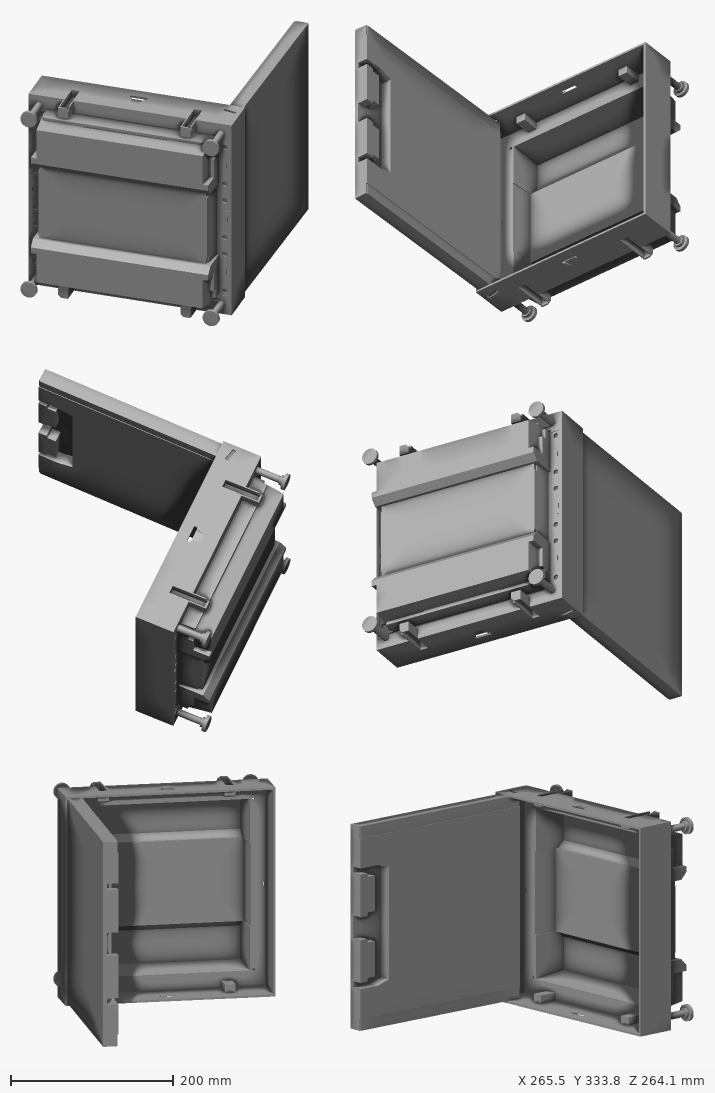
import cadquery as cq
import math


frame_size = 264.1
frame_depth = 51.0
frame_wall = 2.7
back_thickness = 5.0
frame_back = -frame_depth
floor_front = frame_back + back_thickness
half_frame = frame_size / 2
half_inside = half_frame - frame_wall
overall_depth_behind = 41.0
rear_limit = frame_back - overall_depth_behind

cover_wall = 2.5
opening_half = 115.3
plate_half_width = 108.5
plate_half_height = 112.6
plate_rise = 19.0
plate_corner = 2.0
groove_depth = 2.0

trough_top_front = 110.9
trough_top_rear = 105.9
trough_half_width_front = 111.3
trough_half_width_rear = 108.0
trough_bottom = 50.2
trough_chamfer = 8.4
cheek_half_width = 115.3
cheek_top = 105.0
cheek_step_z = 91.6
cheek_foot_z = 66.3
cheek_step_rise = 12.0
cheek_rise = 19.2
ledge_length = 109.0
ledge_width = 1.2
ledge_floor = 106.7

centre_rise = 28.5
centre_half_width_base = 112.8
centre_half_width_face = 109.5
centre_notch_width = 2.6
centre_notch_height = 8.0
centre_notch_depth = 5.0
corner_hole = 3.4
corner_hole_z = 107.6

strip_outer_x = 127.8
strip_half_height = 106.0
strip_depth = 0.8
strip_tab_width = 3.5
strip_tab_height = 23.3
strip_hole_diameter = 6.6
strip_hole_depth = 3.0
strip_hole_x = 122.5
strip_hole_heights = [25.6, 48.8, 100.0]
slit_width = 1.2
slit_height = 6.5
slit_x = 125.2
slit_z = 73.5
slit_depth = 2.0
sight_slot_x = 126.8

clip_x = 79.6
clip_width = 13.2
clip_height = 12.8
clip_rise = 23.3
clip_front = -22.0
clip_floor = 2.4
clip_end_wall = 2.3
clip_channel_width = 10.2
clip_chamfer = 4.0
clip_chamfer_length = 5.5

latch_width = 22.0
latch_height = 4.3
latch_front = -15.0
ramp_length = 12.0
ramp_wide = 17.0
ramp_narrow = 9.6
ramp_depth = 2.0
hinge_length = 17.0
hinge_width = 4.5
hinge_x = 118.0
hinge_y = -15.6
hinge_angle = -13.0

door_thickness = 19.2
door_height = 2 * half_inside
door_lean = 1.03
door_far_end = 241.75
door_outer_x = 133.46
door_root = -20.0
door_length = (door_far_end - door_root) / math.cos(math.radians(door_lean))
door_band = 15.0
door_band_step = 0.8
door_end_step = 1.8
pocket_depth = 14.4
pocket_length = 46.4
pocket_straight = 27.8
pocket_half_height = 76.5
pocket_half_height_inner = 71.0
grip_z = 41.5
grip_wide = 54.0
grip_narrow = 44.8
grip_step = 10.9
grip_length = 23.3
grip_corner = 1.2

screw_position = 118.4
stem_diameter = 8.8
collar_diameter = 13.0
head_diameter = 21.0
collar_thickness = 4.2
head_thickness = 4.4


def block(x_range, y_range, z_range):
    """Box between two limits on each axis."""
    sizes = [high - low for low, high in (x_range, y_range, z_range)]
    return cq.Workplane("XY").box(*sizes, centered=False).translate((x_range[0], y_range[0], z_range[0]))


def centred_block(half_width, y_range, half_height):
    return block((-half_width, half_width), y_range, (-half_height, half_height))


def side_profile(points, half_width):
    """Outline in (Y, Z), extruded evenly to both sides of X = 0."""
    return cq.Workplane("YZ").polyline(points).close().extrude(half_width, both=True)


def both_halves(upper):
    """The upper shape together with its mirror image below Z = 0."""
    return upper.union(upper.mirror("XY"))


def trough(inset):
    """Upper cover trough; a positive inset gives the hollow inside it."""
    rear = rear_limit + inset
    front = floor_front if inset else frame_back
    low = trough_bottom + inset
    points = [
        (front, trough_top_front - inset),
        (rear, trough_top_rear - inset),
        (rear, low + trough_chamfer),
        (rear + trough_chamfer, low),
        (front, low),
    ]
    wide = trough_half_width_front - inset
    narrow = trough_half_width_rear - inset
    plan = [(-wide, front), (wide, front), (narrow, rear), (-narrow, rear)]
    tapered = cq.Workplane("XY").polyline(plan).close().extrude(trough_top_front)
    return side_profile(points, wide).intersect(tapered)


def cheeks():
    """Stepped end walls that widen the upper trough on both sides."""
    points = [
        (frame_back, cheek_top),
        (frame_back - cheek_step_rise, cheek_top),
        (frame_back - cheek_step_rise, cheek_step_z),
        (frame_back - cheek_rise, cheek_step_z),
        (frame_back - cheek_rise, cheek_foot_z),
        (rear_limit, cheek_foot_z),
        (rear_limit, trough_bottom + trough_chamfer),
        (rear_limit + trough_chamfer, trough_bottom),
        (frame_back, trough_bottom),
    ]
    return side_profile(points, cheek_half_width)


def centre_panel(inset):
    """Middle panel with drafted ends; a positive inset gives the hollow inside it."""
    rear = frame_back - centre_rise + inset
    front = floor_front if inset else frame_back
    base = centre_half_width_base - inset
    face = centre_half_width_face - inset
    outline = [(-base, front), (base, front), (face, rear), (-face, rear)]
    return cq.Workplane("XY").polyline(outline).close().extrude(trough_bottom + inset, both=True)


def centre_notches():
    """Small cut-outs at the four rear corners of the middle panel."""
    rear = frame_back - centre_rise
    inner_x = centre_half_width_face - centre_notch_width / 2
    upper = block(
        (inner_x, centre_half_width_base),
        (rear, rear + centre_notch_depth),
        (trough_bottom - centre_notch_height, trough_bottom),
    )
    right = both_halves(upper)
    return right.union(right.mirror("YZ"))


def cover_solid():
    plate = centred_block(plate_half_width, (frame_back - plate_rise, frame_back), plate_half_height)
    plate = plate.faces("<Y").edges("|Z").chamfer(plate_corner)
    middle = centre_panel(0).cut(centre_notches())
    plate = plate.cut(centred_block(cheek_half_width, (rear_limit, frame_back), trough_bottom))
    ledge = block(
        (-ledge_length / 2, ledge_length / 2),
        (frame_back - plate_rise - ledge_width, frame_back - plate_rise),
        (ledge_floor, trough_top_front),
    )
    troughs = trough(0).union(cheeks()).cut(ledge)
    return plate.union(both_halves(troughs)).union(middle)


def cover_hollow():
    return both_halves(trough(cover_wall)).union(centre_panel(cover_wall))


def clip_bodies():
    """Snap clip blocks, each with one chamfered edge at its tip."""
    clips = []
    for side in (-1, 1):
        clip = block(
            (side * clip_x - clip_width / 2, side * clip_x + clip_width / 2),
            (frame_back - clip_rise, clip_front),
            (half_frame - clip_height, half_frame),
        )
        clip = clip.cut(clip_channel(side))
        corner = cq.Workplane("XZ").polyline([
            (side * clip_x + clip_width / 2, half_frame),
            (side * clip_x + clip_width / 2 - clip_chamfer, half_frame),
            (side * clip_x + clip_width / 2, half_frame - clip_chamfer),
        ]).close().extrude(clip_chamfer_length)
        corner = corner.translate((0, frame_back - clip_rise + clip_chamfer_length, 0))
        clips.append(clip.cut(corner))
    upper = clips[0].union(clips[1])
    return upper.union(upper.rotate((0, 0, 0), (0, 1, 0), 180))


def clip_channel(side):
    """Open channel running along the outer face of one upper clip."""
    return block(
        (side * clip_x - clip_channel_width / 2, side * clip_x + clip_channel_width / 2),
        (frame_back - clip_rise + clip_end_wall, clip_front - clip_end_wall),
        (half_frame - clip_height + clip_floor, half_frame),
    )


def strip_recess():
    """Sunken strip, blind holes, slits and sight slot on the +X side of the back."""
    recess_y = (frame_back, frame_back + strip_depth)
    recess = block((cheek_half_width, strip_outer_x), recess_y, (-strip_half_height, strip_half_height))
    tab = block(
        (strip_outer_x - strip_tab_width, strip_outer_x), recess_y,
        (-strip_tab_height / 2, strip_tab_height / 2),
    )
    cutter = recess.cut(tab)
    hole_points = [(strip_hole_x, sign * z) for z in strip_hole_heights for sign in (-1, 1)]
    holes = cq.Workplane("XZ", origin=(0, frame_back, 0)).pushPoints(hole_points)
    cutter = cutter.union(holes.circle(strip_hole_diameter / 2).extrude(-strip_depth - strip_hole_depth))
    slit_points = [(slit_x, slit_z), (slit_x, -slit_z)]
    slits = cq.Workplane("XZ", origin=(0, frame_back, 0)).pushPoints(slit_points)
    cutter = cutter.union(slits.rect(slit_width, slit_height).extrude(-strip_depth - slit_depth))
    sight_slot = cq.Workplane("XZ", origin=(sight_slot_x, frame_back, 0)).rect(slit_width, slit_height)
    return cutter.union(sight_slot.extrude(-back_thickness))


def corner_holes():
    """Square through-holes beside the four corners of the cover plate."""
    points = [
        (x_sign * (opening_half - corner_hole / 2), z_sign * corner_hole_z)
        for x_sign in (-1, 1) for z_sign in (-1, 1)
    ]
    holes = cq.Workplane("XZ", origin=(0, floor_front, 0)).pushPoints(points)
    return holes.rect(corner_hole, corner_hole).extrude(back_thickness)


def wall_openings():
    """Latch slot with its ramp and the slanted hinge slot, through the upper frame side."""
    latch = block(
        (-latch_width / 2, latch_width / 2), (latch_front - latch_height, latch_front),
        (half_inside, half_frame),
    )
    ramp_front = latch_front - latch_height
    ramp = cq.Workplane("XY", origin=(0, 0, half_frame - ramp_depth)).polyline([
        (-ramp_wide / 2, ramp_front),
        (ramp_wide / 2, ramp_front),
        (ramp_narrow / 2, ramp_front - ramp_length),
        (-ramp_narrow / 2, ramp_front - ramp_length),
    ]).close().extrude(ramp_depth)
    slope = side_profile([
        (ramp_front, half_frame),
        (ramp_front - ramp_length, half_frame),
        (ramp_front, half_frame - ramp_depth),
    ], ramp_wide)
    hinge = cq.Workplane("XY").box(hinge_length, hinge_width, frame_wall)
    hinge = hinge.rotate((0, 0, 0), (0, 0, 1), hinge_angle)
    hinge = hinge.translate((hinge_x, hinge_y, half_frame - frame_wall / 2))
    return latch.union(ramp.intersect(slope)).union(hinge)


def frame():
    tray = centred_block(half_frame, (frame_back, 0), half_frame)
    tray = tray.cut(centred_block(half_inside, (floor_front, 0), half_inside))
    groove = block(
        (-opening_half, opening_half), (frame_back, frame_back + groove_depth),
        (plate_half_height, opening_half),
    )
    tray = tray.cut(both_halves(groove))
    body = tray.union(cover_solid()).cut(cover_hollow())
    upper_channels = clip_channel(-1).union(clip_channel(1))
    body = body.cut(both_halves(upper_channels)).union(clip_bodies())
    strip = strip_recess()
    body = body.cut(strip).cut(strip.mirror("YZ"))
    return body.cut(corner_holes()).cut(both_halves(wall_openings()))


def grip():
    """Stepped block standing in the door pocket at the free end."""
    wide = grip_wide / 2
    narrow = grip_narrow / 2
    free_end = door_length
    shoulder = free_end - grip_step
    inner_end = free_end - grip_length
    points = [
        (free_end, -wide), (shoulder, -wide), (shoulder - grip_corner, -narrow), (inner_end, -narrow),
        (inner_end, narrow), (shoulder - grip_corner, narrow), (shoulder, wide), (free_end, wide),
    ]
    return cq.Workplane("YZ").polyline(points).close().extrude(pocket_depth)


def door():
    """Door leaf built upright with its inner face at X = 0, then leaned into place."""
    half_height = door_height / 2
    leaf = block((0, door_thickness), (0, door_length), (-half_height, half_height))
    band = block((0, door_band_step), (0, door_length), (half_height - door_band, half_height))
    end_step = block(
        (0, door_end_step), (door_length - door_end_step, door_length),
        (half_height - door_band, half_height),
    )
    leaf = leaf.cut(both_halves(band.union(end_step)))
    pocket = cq.Workplane("YZ").polyline([
        (door_length, -pocket_half_height),
        (door_length - pocket_straight, -pocket_half_height),
        (door_length - pocket_length, -pocket_half_height_inner),
        (door_length - pocket_length, pocket_half_height_inner),
        (door_length - pocket_straight, pocket_half_height),
        (door_length, pocket_half_height),
    ]).close().extrude(pocket_depth)
    leaf = leaf.cut(pocket)
    for side in (-1, 1):
        leaf = leaf.union(grip().translate((0, 0, side * grip_z)))
    lean = math.radians(door_lean)
    root_x = door_outer_x - door_thickness * math.cos(lean) - door_length * math.sin(lean)
    return leaf.rotate((0, 0, 0), (0, 0, 1), -door_lean).translate((root_x, door_root, 0))


def fixing_screw(x, z):
    """Screw with a stepped head behind the frame; its stem ends flush inside the tray."""
    screw = cq.Workplane("XZ", origin=(x, floor_front, z)).circle(stem_diameter / 2)
    screw = screw.extrude(floor_front - rear_limit)
    head_front = rear_limit + head_thickness
    collar = cq.Workplane("XZ", origin=(x, head_front + collar_thickness, z)).circle(collar_diameter / 2)
    head = cq.Workplane("XZ", origin=(x, head_front, z)).circle(head_diameter / 2)
    return screw.union(collar.extrude(collar_thickness)).union(head.extrude(head_thickness))


enclosure = frame().union(door())
screws = []
for x_side in (-1, 1):
    for z_side in (-1, 1):
        screw = fixing_screw(x_side * screw_position, z_side * screw_position)
        enclosure = enclosure.cut(screw)
        screws.append(screw)

result = cq.Compound.makeCompound([enclosure.solids().val(), *[screw.val() for screw in screws]])